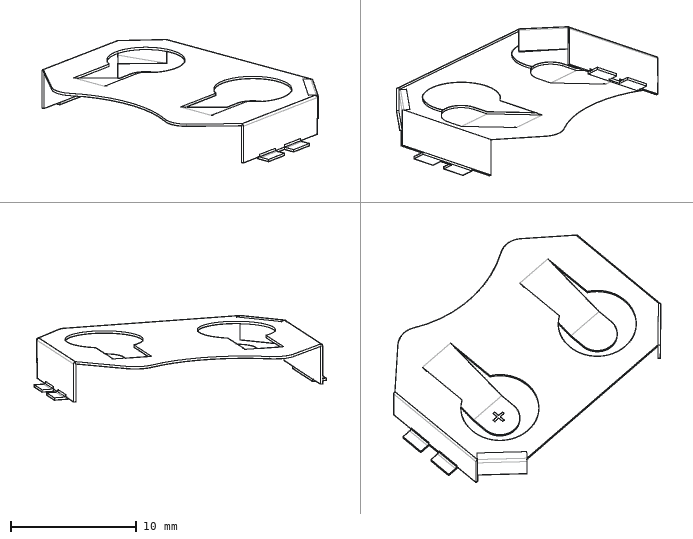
import cadquery as cq
import math

sheet = 0.2
height = 3.5
plate_bottom = height - sheet
bend_radius = 0.195

wall_outer_x = 10.49
wall_rear_y = 4.85
wall_front_y = -4.35
rear_y = 7.6
rear_corner_x = 7.49
chamfer_start_x = 10.35
front_chamfer_angle = 41.3
front_tip_y = -9.15
scallop_radius = 10.0
scallop_top_y = -6.15
lobe_radius = 1.79

finger_x = 5.56
finger_width = 3.2
opening_radius = 3.11
opening_y = 2.7
finger_root_y = -4.37
finger_bend_y = 1.35
finger_tip_z = 1.97

flap_bottom_z = 1.49
bevel_top_z = 2.3
bevel_depth = 0.15
leg_width = 0.62
leg_fillet = 0.14

foot_outer_x = 11.45
foot_center_y = 0.18
foot_gap = 1.12
tab_width = 2.0
foot_fillet = sheet

mark_y = 2.56
mark_length = 1.08
mark_width = 0.18
mark_depth = 0.1

flap_length = math.hypot(chamfer_start_x - rear_corner_x, rear_y - wall_rear_y)
flap_angle = math.degrees(math.atan2(wall_rear_y - rear_y, chamfer_start_x - rear_corner_x))


def block(x0, x1, y0, y1, z0, z1):
    """A box given by its limits along X, Y and Z."""
    return cq.Workplane("XY").box(x1 - x0, y1 - y0, z1 - z0, centered=False).translate((x0, y0, z0))


def mirrored(body):
    """The same body on the other side of the YZ plane."""
    return body.mirror("YZ")


def make_plate():
    """Flat top with chamfered corners and a scalloped front edge."""
    front_tip_x = chamfer_start_x - (wall_front_y - front_tip_y) / math.tan(math.radians(front_chamfer_angle))
    right_side = [
        (front_tip_x, front_tip_y),
        (chamfer_start_x, wall_front_y),
        (chamfer_start_x, wall_rear_y),
        (rear_corner_x, rear_y),
    ]
    left_side = [(-x, y) for x, y in reversed(right_side)]
    plate_base = cq.Workplane("XY", origin=(0, 0, plate_bottom))
    plate = plate_base.polyline(right_side + left_side).close().extrude(sheet)
    scallop = plate_base.center(0, scallop_top_y - scallop_radius).circle(scallop_radius).extrude(sheet)
    return plate.cut(scallop).edges("|Z and <Y").fillet(lobe_radius)


def make_wall():
    """Right side wall, bent down from the plate with a rounded outer edge."""
    wall = block(wall_outer_x - sheet, wall_outer_x, wall_front_y, wall_rear_y, sheet, height)
    return wall.edges(">X and >Z").fillet(bend_radius)


def make_opening(x):
    """Round hole with the slot from which the finger is bent."""
    hole = cq.Workplane("XY", origin=(x, opening_y, plate_bottom)).circle(opening_radius).extrude(sheet)
    half = finger_width / 2
    return hole.union(block(x - half, x + half, finger_root_y, opening_y, plate_bottom, height))


def make_finger(x):
    """Strip that slopes down from the plate to a level tip with a round end."""
    half = finger_width / 2
    finger_end_y = opening_y + half
    profile = [
        (finger_root_y, height),
        (finger_bend_y, finger_tip_z),
        (finger_end_y, finger_tip_z),
        (finger_end_y, finger_tip_z - sheet),
        (finger_bend_y, finger_tip_z - sheet),
        (finger_root_y, plate_bottom),
    ]
    strip = cq.Workplane("YZ", origin=(x - half, 0, 0)).polyline(profile).close().extrude(finger_width)
    round_end = cq.Workplane("XY", origin=(x, opening_y, 0)).circle(half).extrude(height)
    footprint = block(x - half, x + half, finger_root_y, opening_y, 0, height).union(round_end)
    return strip.intersect(footprint)


def on_chamfer(body):
    """Move a body from the origin, lying along +X with its outside at +Y, to the right rear chamfer."""
    return body.rotate((0, 0, 0), (0, 0, 1), flap_angle).translate((rear_corner_x, rear_y, 0))


def make_hanging_strip():
    """Flap on the outside of the chamfer, its top edge rounded by the bend; lies along +X."""
    strip = block(0, flap_length, 0, sheet, flap_bottom_z, height)
    return strip.edges(">Y and >Z").fillet(bend_radius)


def make_leg():
    """Strip as thick as the plate, along the inside of the chamfer; lies along +X."""
    return block(0, flap_length, -leg_width, 0, plate_bottom, height)


def make_right_flap():
    """Hanging strip with a leg let into the plate and a small fillet in the inside corner."""
    corner = (
        cq.Workplane("YZ")
        .moveTo(0, plate_bottom)
        .lineTo(-leg_fillet, plate_bottom)
        .radiusArc((0, plate_bottom - leg_fillet), leg_fillet)
        .close()
        .extrude(flap_length)
    )
    return on_chamfer(make_hanging_strip().union(make_leg()).union(corner))


def make_left_flap():
    """Hanging strip whose inside thins out towards its lower corner next to the wall."""
    bevel_height = bevel_top_z - flap_bottom_z
    bevel_plane = cq.Plane(
        origin=(0, 0, flap_bottom_z),
        xDir=(flap_length, 0, bevel_height),
        normal=(1, -flap_length / bevel_depth, -flap_length / bevel_height),
    )
    cutter_side = 4 * flap_length
    bevel = cq.Workplane(bevel_plane).rect(cutter_side, cutter_side).extrude(flap_length)
    return mirrored(on_chamfer(make_hanging_strip().cut(bevel)))


def make_foot(side):
    """Left (side -1) or right (side 1) foot: strip under the wall and two filleted tabs turned outward."""
    half_span = tab_width + foot_gap / 2
    strip = (
        cq.Workplane("XZ", origin=(0, foot_center_y + half_span, 0))
        .moveTo(wall_outer_x - sheet, 0)
        .lineTo(foot_outer_x, 0)
        .lineTo(foot_outer_x, sheet)
        .lineTo(wall_outer_x + foot_fillet, sheet)
        .radiusArc((wall_outer_x, sheet + foot_fillet), foot_fillet)
        .lineTo(wall_outer_x, sheet)
        .lineTo(wall_outer_x - sheet, sheet)
        .close()
        .extrude(2 * half_span)
    )
    gap_front_y = foot_center_y - foot_gap / 2
    gap = block(wall_outer_x, foot_outer_x, gap_front_y, gap_front_y + foot_gap, 0, sheet + foot_fillet)
    foot = strip.cut(gap)
    return foot if side > 0 else mirrored(foot)


def make_mark():
    """Plus sign let flush into the tip of the right finger."""
    sign = cq.Workplane("XY", origin=(finger_x, mark_y, finger_tip_z - mark_depth))
    return sign.rect(mark_length, mark_width).extrude(mark_depth).union(
        sign.rect(mark_width, mark_length).extrude(mark_depth)
    )


right_flap = make_right_flap()
left_flap = make_left_flap()
feet = [make_foot(side) for side in (-1, 1)]
mark = make_mark()

holder = make_plate()
for wall in (make_wall(), mirrored(make_wall())):
    holder = holder.union(wall)
for x in (-finger_x, finger_x):
    holder = holder.cut(make_opening(x)).union(make_finger(x))
holder = holder.cut(right_flap).cut(mark)

bodies = [holder, right_flap, left_flap, *feet, mark]
result = cq.Compound.makeCompound([body.val() for body in bodies])